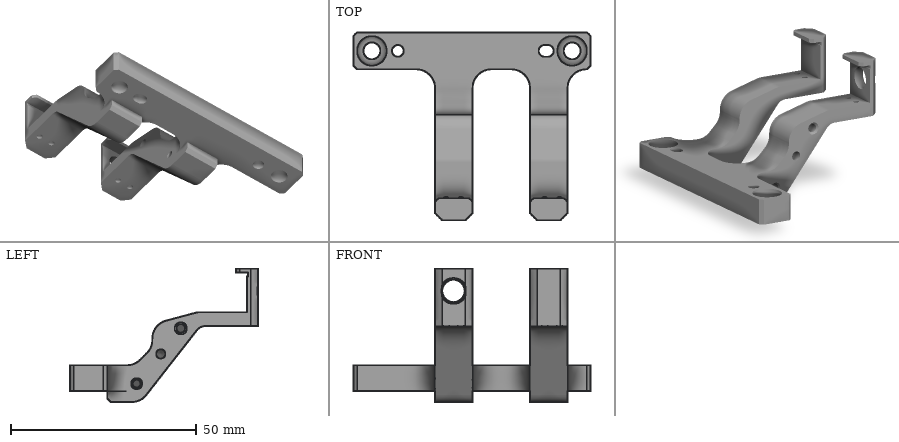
import cadquery as cq
import math


BAR_LENGTH = 64.0
BAR_WIDTH = 10.0
BAR_HEIGHT = 7.0
BAR_CHAMFER = 1.0
BAR_FRONT = -BAR_WIDTH / 2
BAR_BACK = BAR_WIDTH / 2
SCREW_X = 27.0
SCREW_DIAMETER = 4.5
COUNTERBORE_DIAMETER = 8.0
COUNTERBORE_DEPTH = 2.5
PIN_X = 20.0
PIN_DIAMETER = 3.1
PIN_SLOT_LENGTH = 4.0

PART_DEPTH = 50.74
PART_HEIGHT = 36.0
ARM_WIDTH = 10.2
ARM_LEFT_SIDES = (-10.0, 15.6)
ROOT_FILLET = 5.0
HEEL_DROP = 3.0
HEEL_CHAMFER = 1.0
FRONT = BAR_BACK - PART_DEPTH
HEEL_BOTTOM = -HEEL_DROP
ARM_TOP = HEEL_BOTTOM + PART_HEIGHT

SELECTION_MARGIN = 1.0

SHELF_BOTTOM = 17.5
SHELF_THICKNESS = 3.8
SHELF_TOP = SHELF_BOTTOM + SHELF_THICKNESS
RAMP_START_Y = -12.5
STEP_Y = -17.2
SHOULDER_END_Y = -29.5
SHOULDER_ANGLE = 15.0
BELLY_START_Y = -14.1
BELLY_ANGLE = 52.0
PROFILE_FILLET = 5.0
BELLY_TOP_FILLET = 3.0
SHOULDER_FILLET = 3.5

PLATE_THICKNESS = 3.0
PLATE_CHAMFER = 2.0
LIP_REACH = 6.0
LIP_THICKNESS = 1.1
LIP_CHAMFER = 1.0
RELIEF_HEIGHT = 1.0
RELIEF_DEPTH = 0.25
PLATE_BACK = FRONT + PLATE_THICKNESS
LIP_BACK = FRONT + LIP_REACH
LIP_BOTTOM = ARM_TOP - LIP_THICKNESS

PLATE_HOLE_X = -5.0
PLATE_HOLE_Z = 27.0
PLATE_HOLE_DIAMETER = 6.0
PLATE_HOLE_CHAMFER = 0.5

SHELF_PAIR_CENTERS = (-5.0, 21.6)
SHELF_HOLE_PITCH = 4.0
SHELF_HOLE_Y = -40.2
SHELF_HOLE_DIAMETER = 1.6

SIDE_THROUGH_HOLES = (
    (-13.0, 2.0, 2.1, 3.0),
    (-24.9, 16.9, 2.3, 3.3),
)
BLIND_HOLE_Y = -19.5
BLIND_HOLE_Z = 10.0
BLIND_HOLE_DIAMETER = 2.5
BLIND_HOLE_DEPTH = 6.0
DRILL_POINT_ANGLE = 118.0


def box(x_range, y_range, z_range):
    """Box between the given limits on each axis."""
    size = [high - low for low, high in (x_range, y_range, z_range)]
    corner = (x_range[0], y_range[0], z_range[0])
    return cq.Workplane("XY").box(*size, centered=False).translate(corner)


def make_bar():
    """Bar with chamfered corners and the filleted arm roots."""
    bar = (
        cq.Workplane("XY")
        .box(BAR_LENGTH, BAR_WIDTH, BAR_HEIGHT, centered=(True, True, False))
        .edges("|Z")
        .chamfer(BAR_CHAMFER)
    )
    for left in ARM_LEFT_SIDES:
        right = left + ARM_WIDTH
        bar = bar.union(box((left, right), (RAMP_START_Y, 0), (0, BAR_HEIGHT)))
    inner_corners = cq.selectors.BoxSelector(
        (ARM_LEFT_SIDES[0] - SELECTION_MARGIN, BAR_FRONT - SELECTION_MARGIN, 0),
        (ARM_LEFT_SIDES[-1] + ARM_WIDTH + SELECTION_MARGIN, BAR_FRONT + SELECTION_MARGIN, BAR_HEIGHT),
    )
    return bar.edges("|Z").edges(inner_corners).fillet(ROOT_FILLET)


def cut_bar_holes(body):
    """Counterbored screw holes at both ends, a round pin hole and a slotted one."""
    top = cq.Workplane("XY", origin=(0, 0, BAR_HEIGHT))
    screws = top.pushPoints([(-SCREW_X, 0), (SCREW_X, 0)])
    screw_holes = screws.circle(SCREW_DIAMETER / 2).extrude(-BAR_HEIGHT)
    counterbores = screws.circle(COUNTERBORE_DIAMETER / 2).extrude(-COUNTERBORE_DEPTH)
    pin_hole = top.center(-PIN_X, 0).circle(PIN_DIAMETER / 2).extrude(-BAR_HEIGHT)
    pin_slot = top.center(PIN_X, 0).slot2D(PIN_SLOT_LENGTH, PIN_DIAMETER).extrude(-BAR_HEIGHT)
    return body.cut(screw_holes).cut(counterbores).cut(pin_hole).cut(pin_slot)


def make_arm(left):
    """Cranked arm with its upright plate and lip, from x = left."""
    ramp_top_z = BAR_HEIGHT + (RAMP_START_Y - STEP_Y)
    step_top_z = SHELF_TOP - (STEP_Y - SHOULDER_END_Y) * math.tan(math.radians(SHOULDER_ANGLE))
    belly_rise = SHELF_BOTTOM - HEEL_BOTTOM
    belly_end_y = BELLY_START_Y - belly_rise / math.tan(math.radians(BELLY_ANGLE))
    relief_y = PLATE_BACK - RELIEF_DEPTH
    relief_z = LIP_BOTTOM - RELIEF_HEIGHT
    outline = [
        (BAR_FRONT, HEEL_BOTTOM),
        (BAR_FRONT, BAR_HEIGHT),
        (RAMP_START_Y, BAR_HEIGHT),
        (STEP_Y, ramp_top_z),
        (STEP_Y, step_top_z),
        (SHOULDER_END_Y, SHELF_TOP),
        (PLATE_BACK, SHELF_TOP),
        (PLATE_BACK, relief_z),
        (relief_y, relief_z),
        (relief_y, LIP_BOTTOM),
        (LIP_BACK, LIP_BOTTOM),
        (LIP_BACK, ARM_TOP),
        (FRONT, ARM_TOP),
        (FRONT, SHELF_BOTTOM),
        (belly_end_y, SHELF_BOTTOM),
        (BELLY_START_Y, HEEL_BOTTOM),
    ]
    arm = cq.Workplane("YZ", origin=(left, 0, 0)).polyline(outline).close().extrude(ARM_WIDTH)

    def corner(y, z):
        middle = (left + ARM_WIDTH / 2, y, z)
        return cq.selectors.NearestToPointSelector(middle)

    rounded_corners = (
        (RAMP_START_Y, BAR_HEIGHT, PROFILE_FILLET),
        (STEP_Y, ramp_top_z, PROFILE_FILLET),
        (STEP_Y, step_top_z, PROFILE_FILLET),
        (SHOULDER_END_Y, SHELF_TOP, SHOULDER_FILLET),
        (belly_end_y, SHELF_BOTTOM, BELLY_TOP_FILLET),
        (BELLY_START_Y, HEEL_BOTTOM, PROFILE_FILLET),
    )
    for y, z, radius in rounded_corners:
        arm = arm.edges("|X").edges(corner(y, z)).fillet(radius)
    arm = arm.edges("|X").edges(corner(BAR_FRONT, HEEL_BOTTOM)).chamfer(HEEL_CHAMFER)
    arm = arm.faces("<Y").edges("|Z").chamfer(PLATE_CHAMFER)
    lip_corners = cq.selectors.BoxSelector(
        (left - SELECTION_MARGIN, LIP_BACK - LIP_CHAMFER / 2, LIP_BOTTOM),
        (left + ARM_WIDTH + SELECTION_MARGIN, LIP_BACK + LIP_CHAMFER / 2, ARM_TOP),
    )
    return arm.edges("|Z").edges(lip_corners).chamfer(LIP_CHAMFER)


def make_plate_hole():
    """Cutter for the hole through the left plate, chamfered at the front."""
    radius = PLATE_HOLE_DIAMETER / 2
    front = cq.Workplane("XZ", origin=(PLATE_HOLE_X, FRONT, PLATE_HOLE_Z))
    hole = front.circle(radius).extrude(-PLATE_THICKNESS)
    mouth = (
        front.circle(radius + PLATE_HOLE_CHAMFER)
        .workplane(offset=-PLATE_HOLE_CHAMFER)
        .circle(radius)
        .loft()
    )
    return hole.union(mouth)


def cut_shelf_holes(body):
    """Pair of small holes through each shelf, partly under the lip."""
    half_pitch = SHELF_HOLE_PITCH / 2
    points = [(x + side * half_pitch, SHELF_HOLE_Y) for x in SHELF_PAIR_CENTERS for side in (-1, 1)]
    shelf = cq.Workplane("XY", origin=(0, 0, SHELF_TOP)).pushPoints(points)
    return body.cut(shelf.circle(SHELF_HOLE_DIAMETER / 2).extrude(-SHELF_THICKNESS))


def side_cutter(y, z, radius_profile):
    """Turned cutter along +X from the left arm's side; the profile is (depth, radius) pairs."""
    outline = [(0, 0)] + radius_profile
    turned = cq.Workplane("XY").polyline(outline).close().revolve(360, (0, 0, 0), (1, 0, 0))
    return turned.translate((ARM_LEFT_SIDES[0], y, z))


def cut_side_holes(body):
    """Two chamfered through holes and one drilled blind hole across the left arm."""
    for y, z, diameter, mouth_diameter in SIDE_THROUGH_HOLES:
        radius = diameter / 2
        mouth_radius = mouth_diameter / 2
        profile = [(0, mouth_radius), (mouth_radius - radius, radius), (ARM_WIDTH, radius), (ARM_WIDTH, 0)]
        body = body.cut(side_cutter(y, z, profile))
    radius = BLIND_HOLE_DIAMETER / 2
    point_length = radius / math.tan(math.radians(DRILL_POINT_ANGLE / 2))
    profile = [(0, radius), (BLIND_HOLE_DEPTH, radius), (BLIND_HOLE_DEPTH + point_length, 0)]
    return body.cut(side_cutter(BLIND_HOLE_Y, BLIND_HOLE_Z, profile))


result = make_bar()
for arm_left in ARM_LEFT_SIDES:
    result = result.union(make_arm(arm_left))
result = cut_bar_holes(result)
result = result.cut(make_plate_hole())
result = cut_shelf_holes(result)
result = cut_side_holes(result)